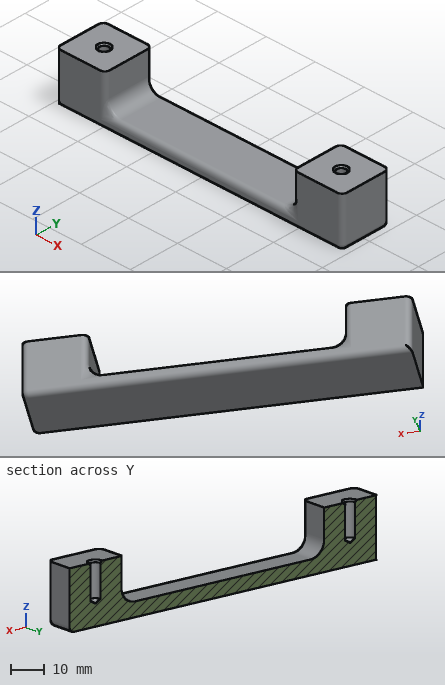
import cadquery as cq

LENGTH = 117.0
WIDTH = 20.0
HEIGHT = 20.0

LEG_LENGTH = WIDTH
BAR_THICKNESS = 5.0
EDGE_RADIUS = 2.0
INNER_RADIUS = 5.0

HOLE_DIAMETER = 3.6
HOLE_MOUTH_DIAMETER = 4.9
HOLE_DEPTH = 11.7
DRILL_TIP_DEPTH = 1.0

HALF_LENGTH = LENGTH / 2
LEG_INNER_X = HALF_LENGTH - LEG_LENGTH
HOLE_X = HALF_LENGTH - LEG_LENGTH / 2
MOUTH_DEPTH = (HOLE_MOUTH_DIAMETER - HOLE_DIAMETER) / 2


def make_handle():
    """U-shaped handle with rounded edges and blended inner corners."""
    bar = cq.Workplane("XY").box(LENGTH, WIDTH, HEIGHT, centered=(True, True, False))
    gap = (
        cq.Workplane("XY")
        .workplane(offset=BAR_THICKNESS)
        .box(2 * LEG_INNER_X, WIDTH, HEIGHT, centered=(True, True, False))
    )
    handle = bar.cut(gap)

    handle = handle.edges("|Z or (|X and (not >Z)) or (<Z and >X)").fillet(EDGE_RADIUS)

    return handle.edges(inner_corner_selector()).fillet(INNER_RADIUS)


def inner_corner_selector():
    """Straight inner corner edges between the legs and the bar."""
    reach = EDGE_RADIUS / 10
    boxes = [
        cq.selectors.BoxSelector(
            (x - reach, -WIDTH, BAR_THICKNESS - reach),
            (x + reach, WIDTH, BAR_THICKNESS + reach),
        )
        for x in (-LEG_INNER_X, LEG_INNER_X)
    ]
    return boxes[0] + boxes[1]


def make_screw_hole(x):
    """Blind hole with a countersunk mouth and a conical drill tip."""
    radius = HOLE_DIAMETER / 2
    bottom = HEIGHT - HOLE_DEPTH
    half_section = (
        cq.Workplane("XZ")
        .moveTo(0, HEIGHT)
        .lineTo(HOLE_MOUTH_DIAMETER / 2, HEIGHT)
        .lineTo(radius, HEIGHT - MOUTH_DEPTH)
        .lineTo(radius, bottom)
        .lineTo(0, bottom - DRILL_TIP_DEPTH)
        .close()
    )
    return half_section.revolve(360, (0, 0, 0), (0, 1, 0)).translate((x, 0, 0))


result = make_handle()
for hole_x in (-HOLE_X, HOLE_X):
    result = result.cut(make_screw_hole(hole_x))